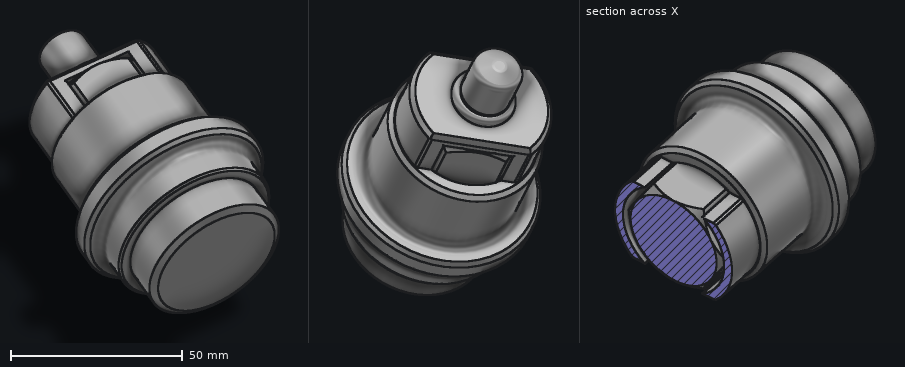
import cadquery as cq
import math

overall_length = 92.83

pin_radius = 15.24 / 2
pin_neck_radius = 15.11 / 2
pin_end_x = 15.2
tip_flat_radius = 1.6
tip_blend_radius = 3.2
crown_angle = math.radians(15.5)
nose_shoulder_radius = 2.12

ring_outer_radius = 9.7
ring_section_radius = 1.87

body_front_x = 19.5
body_radius = 43.18 / 2
body_chamfer = 1.45
flat_half_height = 30.48 / 2
flat_corner_half_width = 14.65
flat_corner_drop = 0.35

cavity_front_x = 23.0
cavity_radius = 37.03 / 2
cavity_depth_in_sleeve = 5.0
hex_across_flats = 31.75

sleeve_front_x = 36.25
sleeve_radius = 46.99 / 2
sleeve_chamfer_length = 1.1
sleeve_chamfer_height = 1.65
flange_front_x = 61.75
flange_rear_x = 69.15
flange_radius = 60.33 / 2
flange_chamfer = 1.27
front_fillet = 3.2
shoulder_radius = 50.8 / 2
shoulder_end_x = 80.35
shoulder_chamfer = 0.65
rear_radius = 43.69 / 2
rear_chamfer_length = 1.3
rear_chamfer_height = 2.2

body_length = sleeve_front_x - body_front_x
body_middle_x = body_front_x + body_length / 2
cavity_length = sleeve_front_x + cavity_depth_in_sleeve - cavity_front_x
rear_fillet = flange_radius - flange_chamfer - shoulder_radius
diagonal = math.sqrt(0.5)


def revolve_about_x(profile):
    """Turn a closed XY profile, drawn from the axis outwards, about the X axis."""
    return profile.close().revolve(360, (0, 0, 0), (1, 0, 0))


def make_pin():
    """Pin with a blended conical tip, a rounded shoulder and a slightly thinner neck."""
    blend_end_x = tip_blend_radius * (1 - math.cos(crown_angle))
    blend_end_radius = tip_flat_radius + tip_blend_radius * math.sin(crown_angle)
    crown_edge_radius = pin_radius - nose_shoulder_radius * (1 - math.sin(crown_angle))
    crown_edge_x = blend_end_x + (crown_edge_radius - blend_end_radius) * math.tan(crown_angle)
    nose_length = crown_edge_x + nose_shoulder_radius * math.cos(crown_angle)
    profile = (
        cq.Workplane("XY")
        .lineTo(0, tip_flat_radius)
        .tangentArcPoint((blend_end_x, blend_end_radius), relative=False)
        .lineTo(crown_edge_x, crown_edge_radius)
        .tangentArcPoint((nose_length, pin_radius), relative=False)
        .lineTo(pin_end_x, pin_radius)
        .lineTo(pin_end_x, pin_neck_radius)
        .lineTo(body_middle_x, pin_neck_radius)
        .lineTo(body_middle_x, 0)
    )
    return revolve_about_x(profile)


def make_seal_ring():
    """Round-section ring seated against the front face of the body."""
    ring_x = body_front_x - ring_section_radius
    section = cq.Workplane("XY").center(ring_x, ring_outer_radius - ring_section_radius)
    section = section.circle(ring_section_radius)
    axis_offset = ring_section_radius - ring_outer_radius
    return section.revolve(360, (0, axis_offset, 0), (1, axis_offset, 0))


def make_body():
    """Round body with two flats, a chamfered front and bevelled flat corners."""
    body = cq.Workplane("YZ", origin=(body_front_x, 0, 0)).circle(body_radius).extrude(body_length)
    flats = cq.Workplane("XY").box(2 * body_length, 2 * body_radius, 2 * flat_half_height)
    body = body.intersect(flats.translate((body_middle_x, 0, 0)))
    body = body.faces("<X").chamfer(body_chamfer)
    return body.intersect(make_flat_corner_envelope())


def make_flat_corner_envelope():
    """Octagonal prism whose slanted sides bevel the long corners of the flats."""
    bevel_z = flat_half_height - flat_corner_drop
    bevel_y = math.sqrt(body_radius ** 2 - bevel_z ** 2)
    slope = flat_corner_drop / (bevel_y - flat_corner_half_width)
    side_z = flat_half_height - slope * (body_radius - flat_corner_half_width)
    upper = [
        (body_radius, side_z),
        (flat_corner_half_width, flat_half_height),
        (-flat_corner_half_width, flat_half_height),
        (-body_radius, side_z),
    ]
    lower = [(-y, -z) for y, z in upper]
    plane = cq.Workplane("YZ", origin=(body_front_x, 0, 0))
    return plane.polyline(upper + lower).close().extrude(body_length)


def make_sleeve():
    """Sleeve, flange, shoulder and rear end as one turned piece."""
    flange_corner = flange_radius - flange_chamfer
    front_fillet_x = flange_front_x - front_fillet
    rear_fillet_x = flange_rear_x + rear_fillet
    profile = (
        cq.Workplane("XY")
        .moveTo(sleeve_front_x, 0)
        .lineTo(sleeve_front_x, sleeve_radius - sleeve_chamfer_height)
        .lineTo(sleeve_front_x + sleeve_chamfer_length, sleeve_radius)
        .lineTo(front_fillet_x, sleeve_radius)
        .threePointArc(
            (front_fillet_x + front_fillet * diagonal, sleeve_radius + front_fillet * (1 - diagonal)),
            (flange_front_x, sleeve_radius + front_fillet),
        )
        .lineTo(flange_front_x, flange_corner)
        .lineTo(flange_front_x + flange_chamfer, flange_radius)
        .lineTo(flange_rear_x - flange_chamfer, flange_radius)
        .lineTo(flange_rear_x, flange_corner)
        .threePointArc(
            (rear_fillet_x - rear_fillet * diagonal, flange_corner - rear_fillet * diagonal),
            (rear_fillet_x, shoulder_radius),
        )
        .lineTo(shoulder_end_x - shoulder_chamfer, shoulder_radius)
        .lineTo(shoulder_end_x, shoulder_radius - shoulder_chamfer)
        .lineTo(shoulder_end_x, rear_radius)
        .lineTo(overall_length - rear_chamfer_length, rear_radius)
        .lineTo(overall_length, rear_radius - rear_chamfer_height)
        .lineTo(overall_length, 0)
    )
    return revolve_about_x(profile)


def make_cavity():
    """Round cavity that holds the nut and runs on into the sleeve."""
    return cq.Workplane("YZ", origin=(cavity_front_x, 0, 0)).circle(cavity_radius).extrude(cavity_length)


def make_hex_nut():
    """Hexagon with flats facing up and down, its front corners turned off at 45 degrees."""
    across_corners = hex_across_flats / math.cos(math.pi / 6)
    plane = cq.Workplane("YZ", origin=(cavity_front_x, 0, 0))
    hexagon = plane.polygon(6, across_corners).extrude(cavity_length)
    corner_relief = (across_corners - hex_across_flats) / 2
    turned_blank = plane.circle(across_corners / 2).extrude(cavity_length)
    turned_blank = turned_blank.faces("<X").chamfer(corner_relief)
    return hexagon.intersect(turned_blank)


housing = make_body().union(make_sleeve()).cut(make_cavity())
result = housing.union(make_hex_nut()).union(make_pin()).union(make_seal_ring())